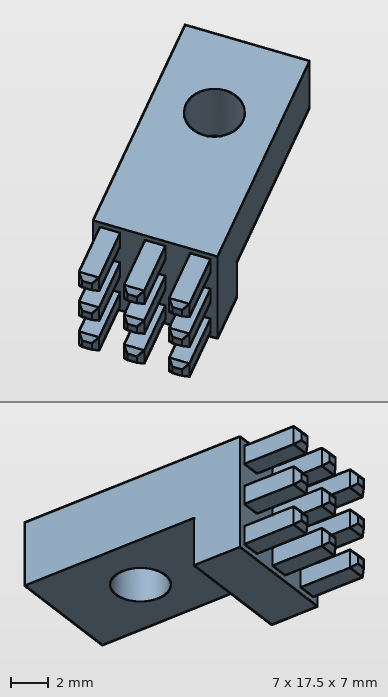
import cadquery as cq

width = 7.0
height = 7.0
total_length = 17.5
pin_length = 3.5
body_length = total_length - pin_length
arm_thickness = 4.0
foot_length = 3.0

hole_diameter = 3.2
hole_from_back = 5.0

pins_per_side = 3
pin_pitch = 2.54
pin_width = 1.14
tip_chamfer = 0.3


def make_body():
    """L-shaped block with its front face at Y = 0 and centred on X and Z."""
    top = height / 2
    bottom = -height / 2
    arm_underside = top - arm_thickness
    side_profile = [
        (0, bottom),
        (foot_length, bottom),
        (foot_length, arm_underside),
        (body_length, arm_underside),
        (body_length, top),
        (0, top),
    ]
    return cq.Workplane("YZ").polyline(side_profile).close().extrude(width / 2, both=True)


def cut_mounting_hole(body):
    """Drill the vertical hole through the arm."""
    drill = (
        cq.Workplane("XY")
        .center(0, body_length - hole_from_back)
        .circle(hole_diameter / 2)
        .extrude(height / 2, both=True)
    )
    return body.cut(drill)


def make_pins():
    """Square pins pointing toward -Y from the front face, chamfered at their tips."""
    middle = (pins_per_side - 1) / 2
    offsets = [(index - middle) * pin_pitch for index in range(pins_per_side)]
    centres = [(x, z) for x in offsets for z in offsets]
    return (
        cq.Workplane("XZ")
        .pushPoints(centres)
        .rect(pin_width, pin_width)
        .extrude(pin_length)
        .faces("<Y")
        .chamfer(tip_chamfer)
    )


result = cut_mounting_hole(make_body()).union(make_pins())